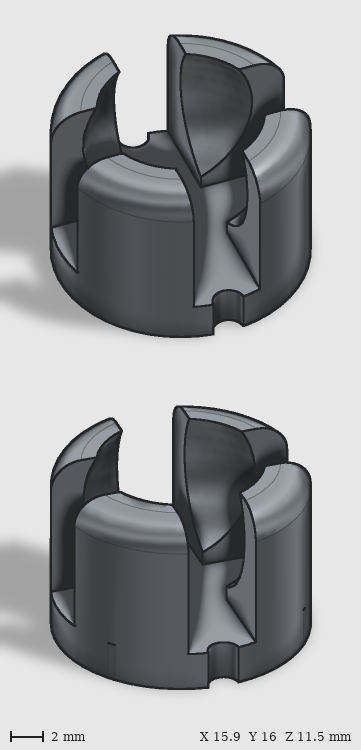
import cadquery as cq
import math

radius = 8.0
height = 11.5
base_height = 2.5
rim_fillet = 1.85

channel_width = 4.38

ball_radius = 6.0
ball_center_z = 8.5

notch_radius = 1.0

base_flats = ((232.2, 0.27), (128.5, 0.51))
flat_cutter_depth = 0.16


def make_body():
    body = cq.Workplane("XY").circle(radius).extrude(height)
    return body.faces(">Z").edges().fillet(rim_fillet)


def make_channels():
    depth = height - base_height
    floor = cq.Workplane("XY").workplane(offset=base_height)
    along_x = floor.rect(2 * radius, channel_width).extrude(depth)
    along_y = floor.rect(channel_width, 2 * radius).extrude(depth)
    return along_x.union(along_y)


def make_ball_seat():
    return cq.Workplane("XY").sphere(ball_radius).translate((0, 0, ball_center_z))


def make_notches():
    centers = [(-radius, 0), (radius, 0)]
    return cq.Workplane("XY").pushPoints(centers).circle(notch_radius).extrude(base_height)


def make_flat(angle, width):
    chord_distance = math.sqrt(radius**2 - (width / 2) ** 2)
    cutter = cq.Workplane("XY").box(flat_cutter_depth, width, base_height, centered=(False, True, False))
    return cutter.translate((chord_distance, 0, 0)).rotate((0, 0, 0), (0, 0, 1), angle)


result = make_body().cut(make_channels()).cut(make_ball_seat()).cut(make_notches())
for flat_angle, flat_width in base_flats:
    result = result.cut(make_flat(flat_angle, flat_width))